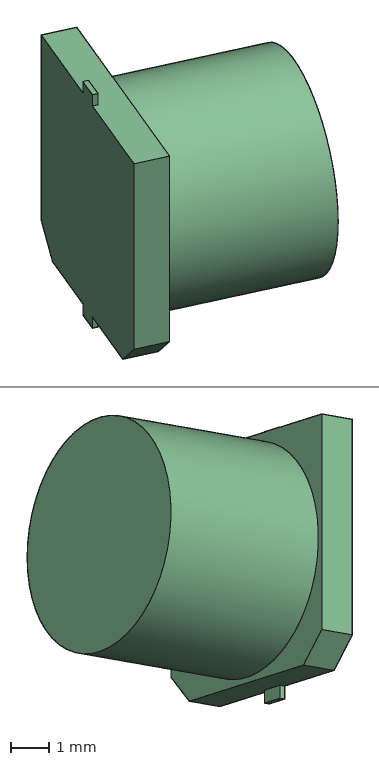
import cadquery as cq

base_side = 6.6
base_thickness = 1.0
corner_cut = 0.8

can_diameter = 6.3
overall_depth = 5.8
can_length = overall_depth - base_thickness

overall_height = 7.3
terminal_width = 0.68
terminal_thickness = 0.16


def make_base():
    """Base plate with its front face on Y = 0 and both lower corners cut off."""
    plate = cq.Workplane("XY").box(
        base_side, base_thickness, base_side, centered=(True, False, True)
    )
    return plate.faces("<Z").edges("|Y").chamfer(corner_cut)


def make_can():
    """Cylinder running along +Y from the back of the base."""
    back_of_base = cq.Workplane("XZ", origin=(0, base_thickness, 0))
    return back_of_base.circle(can_diameter / 2).extrude(-can_length)


def make_terminals():
    """One strip, flush with the front face, whose ends form both terminals."""
    return cq.Workplane("XY").box(
        terminal_width, terminal_thickness, overall_height, centered=(True, False, True)
    )


result = make_base().union(make_can()).union(make_terminals()).clean()